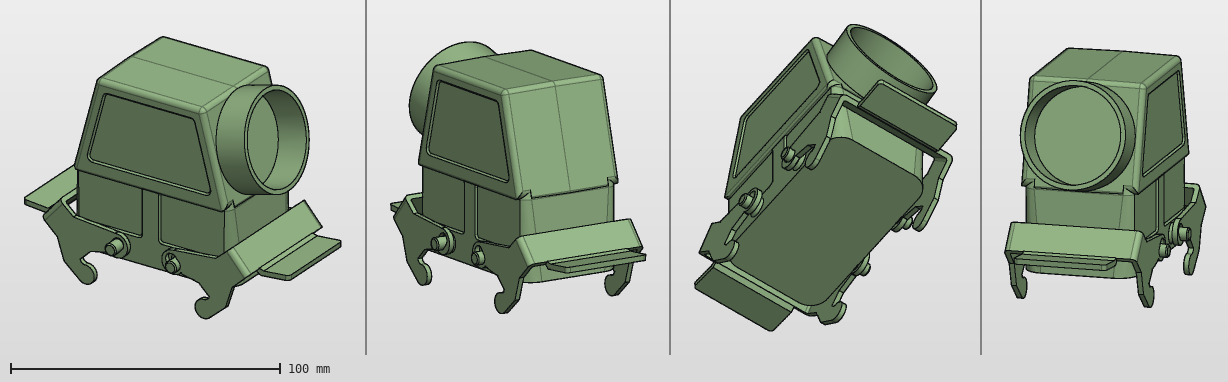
import cadquery as cq
import math

slope = math.tan(math.radians(15))
skirt_half_width = 21.7
skirt_bottom_half_length = 36.6
skirt_top_half_length = 34.5
skirt_height = 31.4
skirt_bottom_corner = 7.7
skirt_top_corner = 4.5
neck_height = 3.9

top_half_width = 22.6
top_base_half_length = 34.6
roof_height = 71.6
crown = 0.3
top_fillet = 2.1
end_underside_fillet = 2.8
side_underside_fillet = 0.8

panel_depth = 0.7
side_panel_corner = 2.4
skirt_panel_corner = 1.8
side_panel_inset = 5.0
side_panel_bottom = 36.7
side_panel_top = 67.0
skirt_panel_inner = 3.5
skirt_panel_bottom = 10.7

outlet_diameter = 40.6
outlet_bore = 37.0
outlet_length = 12.9
outlet_tip_x = 41.8
outlet_tip_z = 54.9

pin_diameter = 5.0
pin_x = 13.4
pin_z = 6.0
pin_reach = 28.61
pin_flare = 1.5
pin_chamfer = 0.5

sheet = 2.0
lever_half_width = 25.6
slot_travel = 2.4
boss_radius = 5.0
hook_radius = 3.9
hook_x = -26.3
hook_z = -8.8
bend_outer_radius = 2.1
bend_inner_radius = 1.0
bridge_top = (-38.0, 19.2)
bridge_bottom = (-46.0, 10.2)
tab_tip = (-59.2, 10.7)
void_size = 118.5
bridge_rise = cq.Vector(bridge_top[0] - bridge_bottom[0], 0, bridge_top[1] - bridge_bottom[1])
bridge_direction = bridge_rise.normalized()
tab_half_width = 17.9
tab_corner = 1.5


def top_half_length(z):
    """Half length of the hood top at a height, along its side edges."""
    return top_base_half_length - (z - skirt_height) * slope


def make_skirt():
    neck_top = skirt_height + neck_height

    def section(z, half_length, corner):
        outline = cq.Sketch().rect(2 * half_length, 2 * skirt_half_width).vertices().fillet(corner)
        return outline.moved(cq.Location(cq.Vector(0, 0, z)))

    bottom = section(0, skirt_bottom_half_length, skirt_bottom_corner)
    shoulder = section(skirt_height, skirt_top_half_length, skirt_top_corner)
    top = section(neck_top, top_half_length(neck_top), skirt_top_corner)
    lower = cq.Workplane().placeSketch(bottom, shoulder).loft(ruled=True)
    neck = cq.Workplane().placeSketch(shoulder, top).loft(ruled=True)
    return lower.union(neck)


def make_top():
    """Tapered block whose roof and ends rise slightly towards the middle plane."""
    def section(y, growth):
        base = top_half_length(skirt_height) + growth
        roof = top_half_length(roof_height) + growth
        points = [
            (-base, y, skirt_height),
            (base, y, skirt_height),
            (roof, y, roof_height + growth),
            (-roof, y, roof_height + growth),
        ]
        return cq.Wire.makePolygon([cq.Vector(*p) for p in points], close=True)

    sections = [section(-top_half_width, 0), section(0, crown), section(top_half_width, 0)]
    block = cq.Workplane(cq.Solid.makeLoft(sections, True))
    upper_edges = block.edges().filter(
        lambda edge: abs(edge.Center().y) > 1.2 and edge.Center().z > skirt_height + 1.2
    )
    rounded = upper_edges.fillet(top_fillet)
    side_edges = rounded.faces("<Z").edges("|X").filter(lambda edge: abs(edge.Center().y) > 1.2)
    rounded = side_edges.fillet(side_underside_fillet)
    end_edges = block.faces("<Z").edges().filter(lambda edge: abs(edge.Center().x) > 1.2)
    flat_width = 2 * (skirt_half_width - skirt_top_corner)
    middle = cq.Workplane().box(2 * void_size, flat_width, 2 * void_size).intersect(block)
    return rounded.intersect(end_edges.fillet(end_underside_fillet).union(middle))


def make_side_panel():
    bottom = top_half_length(side_panel_bottom) - side_panel_inset
    top = top_half_length(side_panel_top) - side_panel_inset
    points = [
        (-bottom, side_panel_bottom),
        (bottom, side_panel_bottom),
        (top, side_panel_top),
        (-top, side_panel_top),
    ]
    outline = cq.Sketch().polygon(points + points[:1]).vertices().fillet(side_panel_corner)
    plane = cq.Workplane("XZ", origin=(0, -top_half_width, 0))
    return plane.placeSketch(outline).extrude(-panel_depth, taper=45)


def make_skirt_panel():
    """Recess that runs out through the rounded corner of the skirt."""
    length = skirt_bottom_half_length
    height = skirt_height + panel_depth - skirt_panel_bottom
    outline = (
        cq.Sketch()
        .push([(skirt_panel_inner + length / 2, skirt_panel_bottom + height / 2)])
        .rect(length, height)
        .reset()
        .vertices("<X")
        .fillet(skirt_panel_corner)
    )
    plane = cq.Workplane("XZ", origin=(0, -skirt_half_width, 0))
    return plane.placeSketch(outline).extrude(-panel_depth, taper=45)


def make_outlet():
    """Tube that stands square on the sloping end of the hood."""
    lean = math.radians(15)
    axis = cq.Vector(math.cos(lean), 0, math.sin(lean))
    tip = cq.Plane(origin=(outlet_tip_x, 0, outlet_tip_z), xDir=(0, 1, 0), normal=axis)
    overlap = 2.4
    tube = cq.Workplane(tip).circle(outlet_diameter / 2).extrude(-(outlet_length + overlap))
    bore = cq.Workplane(tip).circle(outlet_bore / 2).extrude(-outlet_length)
    return tube, bore


def make_pin():
    """Pin on the -X side of the front flank, with a conical foot."""
    radius = pin_diameter / 2
    start = skirt_half_width - 1.2
    shaft = (
        cq.Workplane("XZ", origin=(-pin_x, -start, pin_z))
        .circle(radius)
        .extrude(pin_reach - start)
        .faces("<Y")
        .chamfer(pin_chamfer)
    )
    foot = (
        cq.Workplane("XZ", origin=(-pin_x, -skirt_half_width, pin_z))
        .circle(radius + pin_flare)
        .extrude(pin_flare, taper=45)
    )
    return shaft.union(foot)


def mirrored_pair(shape, plane):
    return [shape, shape.mirror(plane)]


def make_hood():
    hood = make_skirt()
    for near in mirrored_pair(make_skirt_panel(), "YZ"):
        for panel in mirrored_pair(near, "XZ"):
            hood = hood.cut(panel)
    hood = hood.union(make_top())
    tube, bore = make_outlet()
    hood = hood.union(tube).cut(bore)
    for panel in mirrored_pair(make_side_panel(), "XZ"):
        hood = hood.cut(panel)
    for near in mirrored_pair(make_pin(), "YZ"):
        for pin in mirrored_pair(near, "XZ"):
            hood = hood.union(pin)
    return hood


def make_lever_arms():
    """Side outline of a lever, solid across its full width, with its pivot slots."""
    width = 2 * lever_half_width
    side = cq.Workplane("XZ", origin=(0, lever_half_width, 0))
    outline = (
        side.moveTo(*bridge_top)
        .lineTo(-31.6, 13.6)
        .lineTo(-13.0, 12.0)
        .lineTo(-16.4, 3.2)
        .lineTo(-24.2, 1.4)
        .lineTo(-28.7, -3.0)
        .threePointArc((-27.8, -4.3), (-26.5, -4.7))
        .threePointArc((hook_x + hook_radius, hook_z), (-28.9, -11.6))
        .lineTo(-35.9, -5.6)
        .lineTo(-38.9, 3.5)
        .lineTo(*bridge_bottom)
        .close()
        .extrude(width)
        .edges(cq.selectors.ParallelDirSelector(bridge_direction))
        .fillet(bend_outer_radius)
    )
    boss_x = -pin_x + slot_travel / 2 * bridge_direction.x
    boss_z = pin_z + slot_travel / 2 * bridge_direction.z
    boss_centre = side.center(boss_x, boss_z)
    boss = boss_centre.circle(boss_radius).extrude(width)
    slot_angle = math.degrees(math.atan2(bridge_direction.z, bridge_direction.x))
    slot = boss_centre.slot2D(slot_travel + pin_diameter, pin_diameter, slot_angle).extrude(width)
    return outline.union(boss).cut(slot)


def make_lever_void():
    """Space between the two arms, behind the bridge."""
    inward = cq.Vector(bridge_direction.z, 0, -bridge_direction.x)
    inner_face = cq.Vector(bridge_top[0], 0, bridge_top[1]) + inward * sheet
    plane = cq.Plane(origin=inner_face, xDir=(0, 1, 0), normal=inward)
    return (
        cq.Workplane(plane)
        .rect(2 * (lever_half_width - sheet), void_size)
        .extrude(void_size)
        .faces(cq.selectors.DirectionMinMaxSelector(inward, False))
        .edges(cq.selectors.ParallelDirSelector(bridge_direction))
        .fillet(bend_inner_radius)
    )


def make_tab():
    """Thumb tab bent outwards from the lower edge of the bridge."""
    outline = [
        tab_tip,
        (-48.0, 9.7),
        (-45.5, 10.4),
        (-44.4, 9.1),
        (-46.6, 7.5),
        (-59.1, 8.5),
    ]
    return (
        cq.Workplane("XZ", origin=(0, tab_half_width, 0))
        .polyline(outline)
        .close()
        .extrude(2 * tab_half_width)
        .faces("<X")
        .edges("not |Y")
        .fillet(tab_corner)
    )


def make_lever():
    """Sheet metal lever on the -X side of the hood."""
    return make_lever_arms().cut(make_lever_void()).union(make_tab())


hood = make_hood()
levers = mirrored_pair(make_lever(), "YZ")
result = cq.Compound.makeCompound([hood.val(), *[lever.val() for lever in levers]])